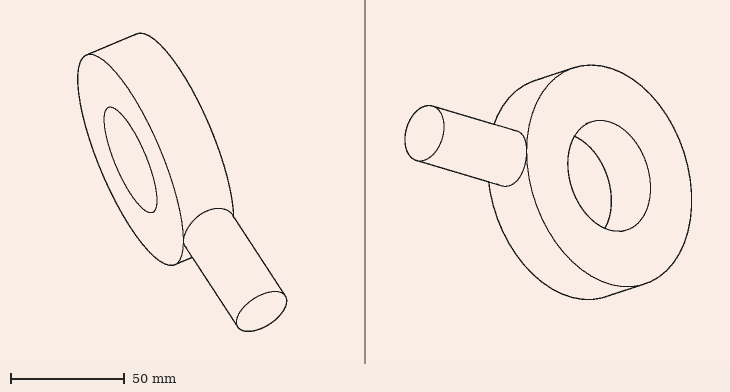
import cadquery as cq

overall_length = 150.0
ring_diameter = overall_length * 2 / 3
bore_diameter = ring_diameter / 2
thickness = ring_diameter / 4

rod_diameter = thickness
rod_end_x = overall_length - ring_diameter / 2


def cylinder_along_y(diameter):
    """Cylinder on the ring axis, centred on Y = 0."""
    back_face = cq.Workplane("XZ", origin=(0, thickness / 2, 0))
    return back_face.circle(diameter / 2).extrude(thickness)


disc = cylinder_along_y(ring_diameter)
rod = cq.Workplane("YZ").circle(rod_diameter / 2).extrude(rod_end_x)

result = disc.union(rod).cut(cylinder_along_y(bore_diameter))